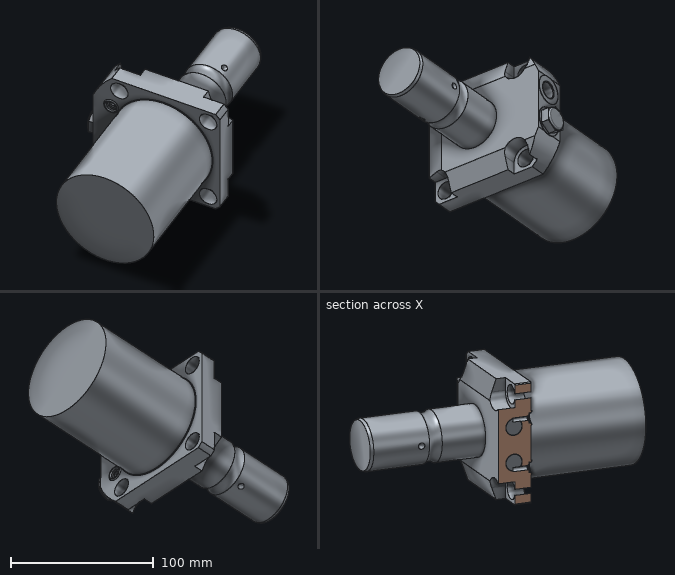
import cadquery as cq
import math


total_width = 107.5
total_length = 201.5

flange_thickness = 25.0
flange_height = 88.8
flange_half = flange_height / 2
flange_left = 55.8
flange_corner_radius = 60.5
bevel_width = 15.0
bevel_depth = 5.5

bolt_offset = 35.0
bolt_hole_diameter = 13.7
seat_radius = 10.0
seat_level = 12.5

barrel_diameter = 77.0
collar_diameter = 77.8
collar_height = 0.6

shaft_length = 87.6
shaft_diameter = 38.0
shaft_radius = shaft_diameter / 2
tip_chamfer_length = 2.5
tip_chamfer_depth = 0.8
groove_from_tip = 45.0
groove_width = 9.7
groove_depth = 1.6
dimple_from_tip = 38.9
dimple_radius = 2.5
dimple_depth = 2.5
dimple_angles = (60, 180, 300)

port_offset = 13.0
port_level = 13.0
port_radius = 6.0
port_chamfer = 0.6
port_spot_radius = 10.9
port_spot_depth = 0.2

valve_x = -41.5
valve_offset = 18.1
valve_base_radius = 5.8
valve_rim_radius = 5.0
valve_height = 0.8
valve_mouth_radius = 4.6
valve_recess_radius = 3.6
valve_recess_depth = 1.6
valve_socket_radius = 2.2
valve_bore_radius = 1.5
valve_bore_depth = 13.7

plug_flats = 17.1
plug_sides = 6
plug_cap_length = 1.2
plug_cap_radius = 8.5
plug_cap_fillet = 1.1
plug_washer_rise = 0.2
plug_shank_length = 10.0

plug_reach = total_width - flange_half - flange_left
barrel_length = total_length - shaft_length - flange_thickness
port_mouth_x = -flange_left + port_spot_depth
port_depth = valve_x - port_mouth_x


def y_cylinder(radius, y_start, y_end, x=0, z=0):
    """Cylinder along +Y between two levels."""
    base = cq.Vector(x, y_start, z)
    return cq.Workplane(cq.Solid.makeCylinder(radius, y_end - y_start, base, cq.Vector(0, 1, 0)))


def x_cylinder(radius, x_start, length, z):
    """Cylinder along +X on a port axis."""
    base = cq.Vector(x_start, port_level, z)
    return cq.Workplane(cq.Solid.makeCylinder(radius, length, base, cq.Vector(1, 0, 0)))


def x_cone(start_radius, end_radius, x_start, length, z):
    """Cone along +X on a port axis."""
    base = cq.Vector(x_start, port_level, z)
    return cq.Workplane(cq.Solid.makeCone(start_radius, end_radius, length, base, cq.Vector(1, 0, 0)))


def box_between(x_range, y_range, z_range):
    """Axis-aligned box from its limits."""
    low, high = zip(x_range, y_range, z_range)
    size = [b - a for a, b in zip(low, high)]
    return cq.Workplane("XY").box(*size, centered=False).translate(low)


def turn_about_y(outline):
    """Close an outline and revolve it about the Y axis."""
    return outline.close().revolve(360, (0, 0), (0, 1))


def make_flange():
    """Plate with turned corners, bevelled on the shaft side along +X, +Z and -Z."""
    plate = box_between((-flange_left, flange_half), (0, flange_thickness), (-flange_half, flange_half))
    plate = plate.intersect(y_cylinder(flange_corner_radius, 0, flange_thickness))

    shoulder = flange_thickness - bevel_depth
    bevel_profile = [
        (flange_half - bevel_width, flange_thickness),
        (flange_half, flange_thickness),
        (flange_half, shoulder),
    ]
    bevel = cq.Workplane("XY").polyline(bevel_profile).close().extrude(flange_left, both=True)
    for angle in (-90, 0, 90):
        plate = plate.cut(bevel.rotate((0, 0, 0), (0, 1, 0), angle))
    return plate


def cut_bolt_seats(body):
    """Four through holes with washer seats; the seats run out of the nearest edges."""
    seat_span = (seat_level, flange_thickness)
    for z_side in (-1, 1):
        z = z_side * bolt_offset
        z_inner = z - z_side * seat_radius
        z_outer = z_side * flange_corner_radius
        for x_side in (-1, 1):
            x = x_side * bolt_offset
            body = body.cut(y_cylinder(bolt_hole_diameter / 2, 0, flange_thickness, x, z))
            body = body.cut(y_cylinder(seat_radius, *seat_span, x, z))
            body = body.cut(
                box_between((x - seat_radius, x + seat_radius), seat_span, sorted((z, z_outer)))
            )
        body = body.cut(
            box_between((bolt_offset, flange_corner_radius), seat_span, sorted((z_inner, z_outer)))
        )
    return body


def cut_port(body, z):
    """Chamfered blind port with a shallow spot face."""
    body = body.cut(x_cylinder(port_spot_radius, -flange_left, port_spot_depth, z))
    body = body.cut(x_cone(port_radius + port_chamfer, port_radius, port_mouth_x, port_chamfer, z))
    return body.cut(x_cylinder(port_radius, port_mouth_x, port_depth, z))


def add_valve_seat(body, z):
    """Raised rim around a stepped bore that reaches the port."""
    rim_profile = [
        (0, 0),
        (valve_base_radius, 0),
        (valve_rim_radius, -valve_height),
        (0, -valve_height),
    ]
    mouth_depth = valve_mouth_radius - valve_recess_radius
    socket_taper = valve_socket_radius - valve_bore_radius
    bore_profile = [
        (0, -valve_height),
        (valve_mouth_radius, -valve_height),
        (valve_recess_radius, mouth_depth - valve_height),
        (valve_recess_radius, valve_recess_depth),
        (valve_socket_radius, valve_recess_depth),
        (valve_bore_radius, valve_recess_depth + socket_taper),
        (valve_bore_radius, valve_bore_depth),
        (0, valve_bore_depth),
    ]
    rim = turn_about_y(cq.Workplane("XY").polyline(rim_profile)).translate((valve_x, 0, z))
    bore = turn_about_y(cq.Workplane("XY").polyline(bore_profile)).translate((valve_x, 0, z))
    return body.union(rim).cut(bore)


def make_housing():
    """Flange and barrel in one piece, with ports and valve seats."""
    body = cut_bolt_seats(make_flange())
    body = body.union(y_cylinder(collar_diameter / 2, -collar_height, 0))
    body = body.union(y_cylinder(barrel_diameter / 2, -barrel_length, 0))
    for side in (-1, 1):
        body = cut_port(body, side * port_offset)
        body = add_valve_seat(body, side * valve_offset)
    return body


def make_shaft():
    """Shaft with a chamfered tip, a round groove and three conical dimples."""
    tip = flange_thickness + shaft_length
    groove_end = tip - groove_from_tip
    groove_middle = groove_end - groove_width / 2
    groove_start = groove_end - groove_width
    outline = (
        cq.Workplane("XY")
        .moveTo(0, flange_thickness)
        .lineTo(shaft_radius, flange_thickness)
        .lineTo(shaft_radius, groove_start)
        .threePointArc((shaft_radius - groove_depth, groove_middle), (shaft_radius, groove_end))
        .lineTo(shaft_radius, tip - tip_chamfer_length)
        .lineTo(shaft_radius - tip_chamfer_depth, tip)
        .lineTo(0, tip)
    )
    shaft = turn_about_y(outline)
    for angle in dimple_angles:
        outward = cq.Vector(math.cos(math.radians(angle)), 0, math.sin(math.radians(angle)))
        dimple_tip = outward * (shaft_radius - dimple_depth) + cq.Vector(0, tip - dimple_from_tip, 0)
        dimple = cq.Solid.makeCone(0, dimple_radius, dimple_depth, dimple_tip, outward)
        shaft = shaft.cut(cq.Workplane(dimple))
    return shaft


def make_plug():
    """Hexagon-head plug: washer collar in the spot face, shank in the lower port."""
    z = -port_offset
    end_x = -flange_left - plug_reach
    cap_base_x = end_x + plug_cap_length
    corner_diameter = plug_flats / math.cos(math.pi / plug_sides)
    head = (
        cq.Workplane("YZ", origin=(cap_base_x, port_level, z))
        .transformed(rotate=(0, 0, 90))
        .polygon(plug_sides, corner_diameter)
        .extrude(port_mouth_x - cap_base_x)
    )
    cap = x_cylinder(plug_cap_radius, end_x, plug_cap_length, z).faces("<X").edges().fillet(plug_cap_fillet)
    shank = x_cylinder(port_radius, port_mouth_x, plug_shank_length, z)
    washer_x = -flange_left - plug_washer_rise
    washer = x_cylinder(port_spot_radius, washer_x, port_mouth_x - washer_x, z)
    return head.union(cap).union(washer).union(shank)


housing = make_housing()
shaft = make_shaft()
plug = make_plug()

result = cq.Compound.makeCompound([housing.val(), shaft.val(), plug.val()])